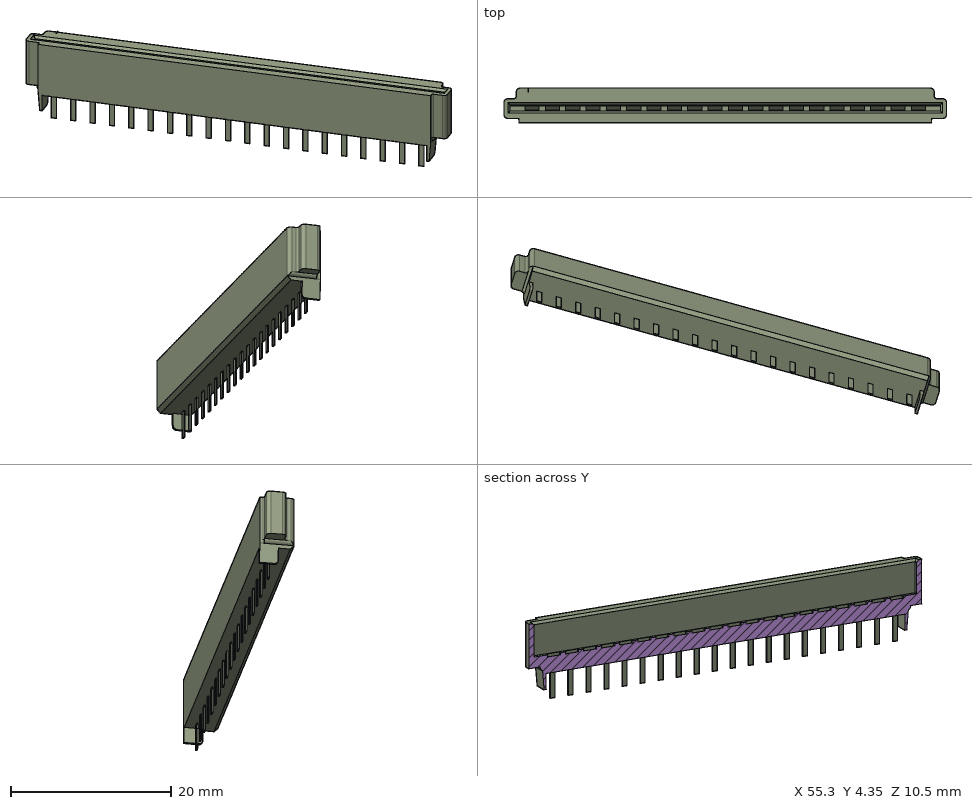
import cadquery as cq
import math


LENGTH = 55.3
DEPTH = 4.35
HEIGHT = 6.9
BACK_HALF_LENGTH = 26.1
FRONT_HALF_LENGTH = 25.8
BACK_CORNER_RADIUS = 0.5
BACK_STEP_RADIUS = 0.35
FRONT_STEP_RADIUS = 0.15
BACK_BOTTOM_CHAMFER = 0.5

FLANGE_FRONT = 0.55
FLANGE_BACK = 3.05
FLANGE_HEIGHT = 5.9
FLANGE_CORNER_RADIUS = 0.5

STEP_ROUND_RADIUS = 0.55
LEG_BOTTOM = 9.0
LEG_BOTTOM_HALF_LENGTH = 25.55
LEG_THICKNESS = 0.35
LEG_DEPTH = 2.4
LEG_CORNER_RADIUS = 0.5

SLOT_END_WALL = 0.5
SLOT_FRONT = 1.2
SLOT_BACK = 2.55
SLOT_BEVEL = 0.3
SLOT_BEVEL_DEPTH = 0.35
SLOT_FLOOR_BACK = 2.1
SLOT_FLOOR = 4.4

CONTACT_COUNT = 20
CONTACT_ROW_LENGTH = 48.25
CONTACT_PITCH = CONTACT_ROW_LENGTH / (CONTACT_COUNT - 1)
POCKET_FRONT = 1.6
POCKET_LENGTH = 1.75
POCKET_DEPTH = 0.55
TAIL_WIDTH = 0.65
TAIL_THICKNESS = 0.15
TAIL_Y = 1.4
TAIL_BOTTOM = 10.4

MARK_X = -24.6
MARK_WIDTH = 0.05
MARK_DEPTH = 0.5
MARK_HEIGHT = 0.1

OVERLAP = 0.3


def box(x_min, x_max, y_min, y_max, z_min, z_max):
    size = (x_max - x_min, y_max - y_min, z_max - z_min)
    return cq.Workplane("XY").box(*size, centered=False).translate((x_min, y_min, z_min))


def extrude_along_y(points, y_min, y_max):
    """Prism on an outline of (x, z) points."""
    return cq.Workplane("XZ", origin=(0, y_min, 0)).polyline(points).close().extrude(y_min - y_max)


def make_end_profile():
    """Left and right ends: upright, rounded inward, then tapering down to the leg tips."""
    step = BACK_HALF_LENGTH - FRONT_HALF_LENGTH
    turn = math.acos(1 - step / STEP_ROUND_RADIUS)

    def round_point(angle):
        inset = STEP_ROUND_RADIUS * (1 - math.cos(angle))
        return BACK_HALF_LENGTH - inset, -FLANGE_HEIGHT - STEP_ROUND_RADIUS * math.sin(angle)

    half = (
        cq.Workplane("XZ")
        .lineTo(BACK_HALF_LENGTH, 0)
        .lineTo(*round_point(0))
        .threePointArc(round_point(turn / 2), round_point(turn))
        .lineTo(LEG_BOTTOM_HALF_LENGTH, -LEG_BOTTOM)
        .lineTo(0, -LEG_BOTTOM)
        .close()
        .extrude(-DEPTH)
    )
    return half.union(half.mirror("YZ"))


def make_side_profile():
    """Side outline: tall at the front where the legs are, shorter and chamfered at the back."""
    return (
        cq.Workplane("YZ")
        .lineTo(DEPTH, 0)
        .lineTo(DEPTH, -HEIGHT + BACK_BOTTOM_CHAMFER)
        .lineTo(DEPTH - BACK_BOTTOM_CHAMFER, -HEIGHT)
        .lineTo(LEG_DEPTH, -HEIGHT)
        .lineTo(LEG_DEPTH, -LEG_BOTTOM + LEG_CORNER_RADIUS)
        .tangentArcPoint((-LEG_CORNER_RADIUS, -LEG_CORNER_RADIUS))
        .lineTo(0, -LEG_BOTTOM)
        .close()
        .extrude(LENGTH / 2, both=True)
    )


def make_body():
    """Long core of the housing with its two end legs."""
    front = box(-FRONT_HALF_LENGTH, FRONT_HALF_LENGTH, 0, DEPTH / 2, -LEG_BOTTOM, 0)
    back = box(-BACK_HALF_LENGTH, BACK_HALF_LENGTH, FLANGE_FRONT, DEPTH, -LEG_BOTTOM, 0)
    back = back.edges("|Z and >Y").fillet(BACK_CORNER_RADIUS)
    core = front.union(back).intersect(make_side_profile()).intersect(make_end_profile())
    leg_inside = LEG_BOTTOM_HALF_LENGTH - LEG_THICKNESS
    return core.cut(box(-leg_inside, leg_inside, 0, DEPTH, -LEG_BOTTOM, -HEIGHT))


def make_step_fillet(x, y, radius, side):
    """Hollow round in the inner corner at (x, y), filling toward +Y or -Y as `side` is 1 or -1."""
    filler = box(x, x + radius, min(y, y + side * radius), max(y, y + side * radius), -FLANGE_HEIGHT, 0)
    hollow = cq.Workplane("XY").center(x + radius, y + side * radius).circle(radius)
    filler = filler.cut(hollow.extrude(-FLANGE_HEIGHT))
    return filler.union(filler.mirror("YZ"))


def make_flange():
    """Round-cornered bar that sticks out at both ends of the core."""
    bar = box(-LENGTH / 2, LENGTH / 2, FLANGE_FRONT, FLANGE_BACK, -FLANGE_HEIGHT, 0)
    return bar.edges("|Z").fillet(FLANGE_CORNER_RADIUS)


def make_slot():
    """Card slot with a bevelled mouth and a back wall that leans in toward the floor."""
    profile = [
        (SLOT_FRONT, 0),
        (SLOT_BACK, 0),
        (SLOT_BACK - SLOT_BEVEL, -SLOT_BEVEL_DEPTH),
        (SLOT_FLOOR_BACK, -SLOT_FLOOR),
        (SLOT_FRONT + SLOT_BEVEL, -SLOT_FLOOR),
        (SLOT_FRONT + SLOT_BEVEL, -SLOT_BEVEL_DEPTH),
    ]
    mouth_end = LENGTH / 2 - SLOT_END_WALL
    slot_end = mouth_end - SLOT_BEVEL
    ends = [
        (-mouth_end, 0),
        (mouth_end, 0),
        (slot_end, -SLOT_BEVEL_DEPTH),
        (slot_end, -SLOT_FLOOR),
        (-slot_end, -SLOT_FLOOR),
        (-slot_end, -SLOT_BEVEL_DEPTH),
    ]
    slot = cq.Workplane("YZ").polyline(profile).close().extrude(mouth_end, both=True)
    return slot.intersect(extrude_along_y(ends, 0, DEPTH))


def make_pocket(x):
    """Contact pocket in the slot floor, sloping down to its front wall."""
    profile = [
        (POCKET_FRONT, -SLOT_FLOOR),
        (SLOT_FLOOR_BACK, -SLOT_FLOOR),
        (POCKET_FRONT, -SLOT_FLOOR - POCKET_DEPTH),
    ]
    start = cq.Workplane("YZ", origin=(x - POCKET_LENGTH / 2, 0, 0))
    return start.polyline(profile).close().extrude(POCKET_LENGTH)


def make_tail(x):
    """Solder tail below the housing."""
    return box(
        x - TAIL_WIDTH / 2,
        x + TAIL_WIDTH / 2,
        TAIL_Y - TAIL_THICKNESS / 2,
        TAIL_Y + TAIL_THICKNESS / 2,
        -TAIL_BOTTOM,
        -HEIGHT + OVERLAP,
    )


def make_mark():
    """Thin blade standing at the back edge of the top face."""
    x_min = MARK_X - MARK_WIDTH / 2
    return box(x_min, x_min + MARK_WIDTH, DEPTH - MARK_DEPTH, DEPTH, -OVERLAP, MARK_HEIGHT)


result = make_body().union(make_flange())
result = result.union(make_step_fillet(FRONT_HALF_LENGTH, FLANGE_FRONT, FRONT_STEP_RADIUS, -1))
result = result.union(make_step_fillet(BACK_HALF_LENGTH, FLANGE_BACK, BACK_STEP_RADIUS, 1))
result = result.cut(make_slot()).union(make_mark())
for index in range(CONTACT_COUNT):
    contact_x = index * CONTACT_PITCH - CONTACT_ROW_LENGTH / 2
    result = result.cut(make_pocket(contact_x)).union(make_tail(contact_x))